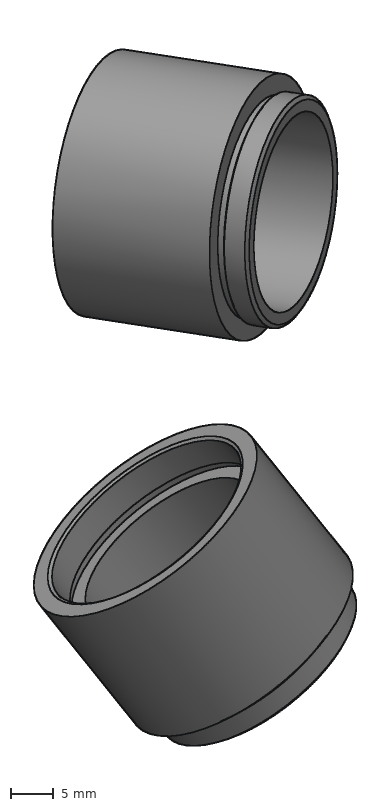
import cadquery as cq

body_length = 20.0
spigot_length = 4.0
overall_length = body_length + spigot_length

body_diameter = 31.75
bore_diameter = 23.88
socket_diameter = 26.9
socket_mouth_diameter = 27.75
spigot_diameter = 27.75
spigot_tip_diameter = 26.73
groove_diameter = 26.73

socket_depth = 5.0
socket_undercut_width = 1.0
mouth_chamfer_length = 0.25
groove_floor_length = 0.75
groove_flank_length = 0.3
tip_chamfer_length = 0.35


def revolve_about_x(points):
    """Revolve a closed outline of (x, diameter) points about the X axis."""
    outline = [(x, diameter / 2) for x, diameter in points]
    return cq.Workplane("XY").polyline(outline).close().revolve(360, (0, 0, 0), (1, 0, 0))


groove_end = body_length + groove_floor_length
outside = revolve_about_x([
    (0, 0),
    (0, body_diameter),
    (body_length, body_diameter),
    (body_length, groove_diameter),
    (groove_end, groove_diameter),
    (groove_end + groove_flank_length, spigot_diameter),
    (overall_length - tip_chamfer_length, spigot_diameter),
    (overall_length, spigot_tip_diameter),
    (overall_length, 0),
])

undercut_start = socket_depth - socket_undercut_width
inside = revolve_about_x([
    (0, 0),
    (0, socket_mouth_diameter),
    (mouth_chamfer_length, socket_diameter),
    (undercut_start, socket_diameter),
    (undercut_start, socket_mouth_diameter),
    (socket_depth, socket_mouth_diameter),
    (socket_depth, bore_diameter),
    (overall_length, bore_diameter),
    (overall_length, 0),
])

result = outside.cut(inside)